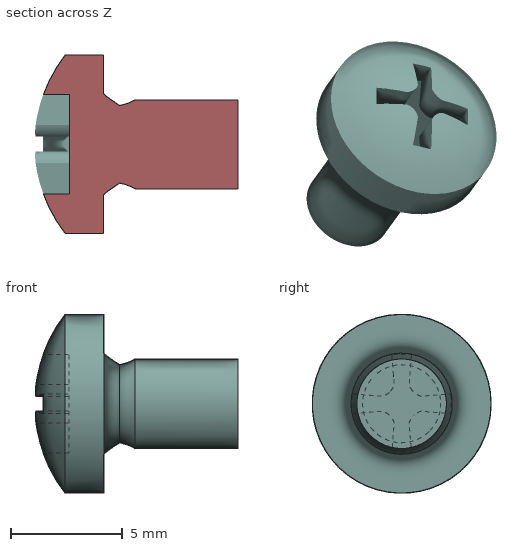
import cadquery as cq
import math


HEAD_RADIUS = 4.0
HEAD_HEIGHT = 3.1
RIM_THICKNESS = 1.73

SHANK_RADIUS = 2.0
SHANK_LENGTH = 6.0
NECK_END_X = 1.4
NECK_WAIST_X = NECK_END_X / 2
NECK_WAIST_RADIUS = 1.745
NECK_ROOT_RADIUS = 2.26
NECK_CONE_X = 0.09
NECK_CONE_RADIUS = 2.17
FLARE_SAG = 0.035

RECESS_DEPTH = 1.55
ARM_REACH = 2.21
ARM_END_HALF_WIDTH = 0.44
THROAT_REACH = 0.855
THROAT_HALF_WIDTH = 0.335
CORNER_RADIAL_DISTANCE = 0.75
ARM_COUNT = 4


def dome_radius_at(x):
    """Radius of the spherical dome at a position x along the axis."""
    dome_height = HEAD_HEIGHT - RIM_THICKNESS
    sphere_radius = (HEAD_RADIUS**2 + dome_height**2) / (2 * dome_height)
    center_x = sphere_radius - HEAD_HEIGHT
    return math.sqrt(sphere_radius**2 - (x - center_x)**2)


def make_body():
    """Revolve the half profile of head, neck and shank about the X axis."""
    crown_x = -HEAD_HEIGHT
    rim_x = -RIM_THICKNESS
    dome_mid_x = (crown_x + rim_x) / 2
    flare_mid_x = (NECK_WAIST_X + NECK_END_X) / 2
    flare_mid_radius = (NECK_WAIST_RADIUS + SHANK_RADIUS) / 2 - FLARE_SAG
    return (
        cq.Workplane("XY")
        .moveTo(crown_x, 0)
        .threePointArc((dome_mid_x, dome_radius_at(dome_mid_x)), (rim_x, HEAD_RADIUS))
        .lineTo(0, HEAD_RADIUS)
        .lineTo(0, NECK_ROOT_RADIUS)
        .lineTo(NECK_CONE_X, NECK_CONE_RADIUS)
        .lineTo(NECK_WAIST_X, NECK_WAIST_RADIUS)
        .threePointArc((flare_mid_x, flare_mid_radius), (NECK_END_X, SHANK_RADIUS))
        .lineTo(SHANK_LENGTH, SHANK_RADIUS)
        .lineTo(SHANK_LENGTH, 0)
        .close()
        .revolve(360, (0, 0, 0), (1, 0, 0))
    )


def turned(point, angle):
    """Rotate a point of the recess outline about the axis."""
    u, v = point
    return (
        u * math.cos(angle) - v * math.sin(angle),
        u * math.sin(angle) + v * math.cos(angle),
    )


def make_recess():
    """Prism with four outward widening arms joined by rounded corners."""
    corner_mid = CORNER_RADIAL_DISTANCE * math.cos(math.pi / 4)
    outline = cq.Workplane("YZ", origin=(-HEAD_HEIGHT, 0, 0))
    outline = outline.moveTo(THROAT_REACH, -THROAT_HALF_WIDTH)
    for arm in range(ARM_COUNT):
        angle = 2 * math.pi * arm / ARM_COUNT
        outline = (
            outline
            .lineTo(*turned((ARM_REACH, -ARM_END_HALF_WIDTH), angle))
            .lineTo(*turned((ARM_REACH, ARM_END_HALF_WIDTH), angle))
            .lineTo(*turned((THROAT_REACH, THROAT_HALF_WIDTH), angle))
            .threePointArc(
                turned((corner_mid, corner_mid), angle),
                turned((THROAT_HALF_WIDTH, THROAT_REACH), angle),
            )
        )
    return outline.close().extrude(RECESS_DEPTH)


result = make_body().cut(make_recess())